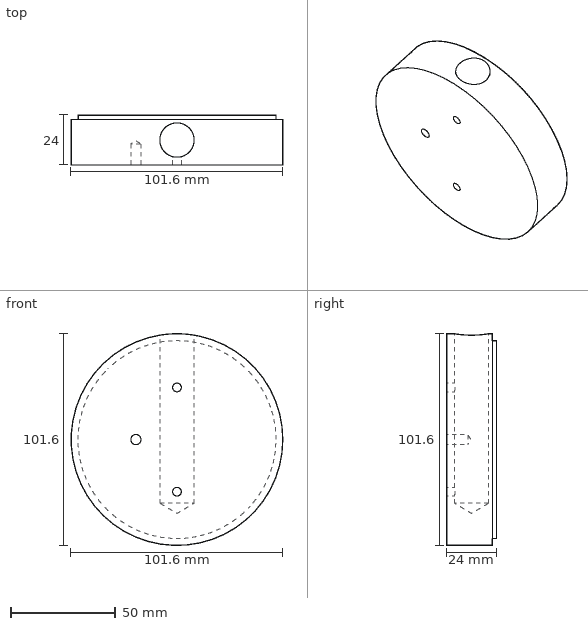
import cadquery as cq
import math

disc_diameter = 101.6
total_thickness = 24.0
step_thickness = 2.0
step_diameter = 95.0
front_y = -total_thickness / 2
body_thickness = total_thickness - step_thickness

pin_hole_diameter = 4.2
pin_hole_depth = total_thickness / 2
pin_hole_offset = 25.0

side_hole_diameter = 4.9
side_hole_depth = 10.2
side_hole_offset = 19.7

rim_hole_diameter = 16.5
rim_hole_depth = 81.3
drill_tip_angle = 118.0


def drill(diameter, depth):
    """Drill-shaped cutter along Z: opening at the origin, conical tip below the full-diameter depth."""
    radius = diameter / 2
    tip_length = radius / math.tan(math.radians(drill_tip_angle / 2))
    profile = (
        cq.Workplane("XZ")
        .moveTo(0, 0)
        .lineTo(radius, 0)
        .lineTo(radius, -depth)
        .lineTo(0, -depth - tip_length)
        .close()
    )
    return profile.revolve(360, (0, 0, 0), (0, 1, 0))


def disc_along_y(diameter, start_y, length):
    """Cylinder running from start_y towards +Y."""
    return cq.Workplane("XZ", origin=(0, start_y, 0)).circle(diameter / 2).extrude(-length)


body = disc_along_y(disc_diameter, front_y, body_thickness)
step = disc_along_y(step_diameter, front_y + body_thickness, step_thickness)
result = body.union(step)

for z in (-pin_hole_offset, pin_hole_offset):
    pin_hole = disc_along_y(pin_hole_diameter, front_y, pin_hole_depth)
    result = result.cut(pin_hole.translate((0, 0, z)))

side_hole = drill(side_hole_diameter, side_hole_depth).rotate((0, 0, 0), (1, 0, 0), 90)
result = result.cut(side_hole.translate((-side_hole_offset, front_y, 0)))

rim_hole = drill(rim_hole_diameter, rim_hole_depth)
result = result.cut(rim_hole.translate((0, 0, disc_diameter / 2)))